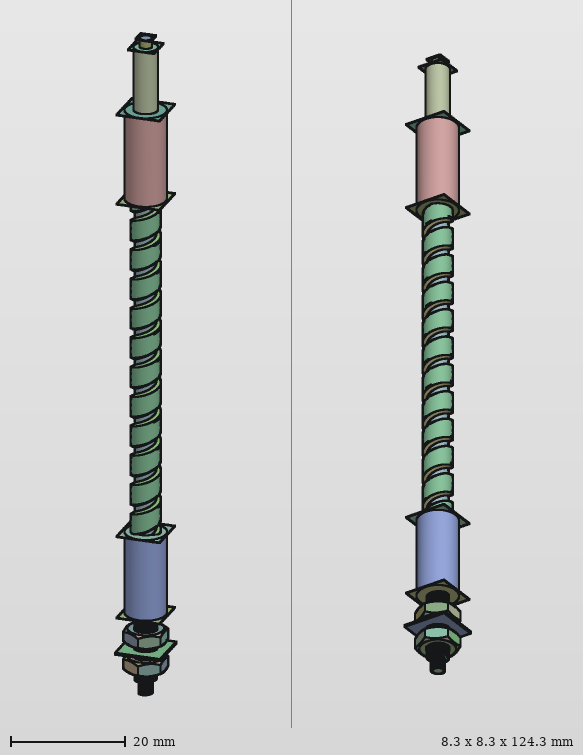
import cadquery as cq
import math

total_length = 124.3
stud_shoulder = 2.6
lower_nut_base = 4.5
washer_base = 8.3
upper_nut_base = 9.7
lower_sleeve_base = 15.2
lower_sleeve_top = 30.7
upper_sleeve_base = 93.6
upper_sleeve_top = 110.6
plunger_shoulder = 122.6

plate_thickness = 0.1
sleeve_diameter = 7.5
sleeve_plate_width = 8.0
plunger_diameter = 4.4
plunger_plate_width = 4.8
plunger_tip_diameter = 2.2
plunger_tip_plate_width = 2.9

spindle_diameter = 5.3
groove_depth = 0.7
groove_turns = 11.3
groove_pitch = (upper_sleeve_base - lower_sleeve_top) / groove_turns
groove_mouth = 1.9
groove_floor = 1.0
groove_level = 90.3

stud_diameter = 4.0
stud_hole_diameter = 4.1
stud_pitch = 0.7
stud_tip_diameter = 2.5
stud_tip_pitch = 0.45
thread_depth_share = 0.61
thread_mouth_share = 0.88
thread_floor_share = 0.25

washer_width = 8.3
washer_thickness = 0.4
nut_height = 2.6
nut_flat_width = 7.0
nut_face_diameter = 6.5
nut_chamfer_angle = 30.0
hexagon_half_angle = 30.0


def cylinder(diameter, base, top):
    """Round bar on the Z axis between two levels."""
    return cq.Workplane("XY").workplane(offset=base).circle(diameter / 2).extrude(top - base)


def square_plate(width, base, thickness):
    """Flat square plate centred on the Z axis."""
    return cq.Workplane("XY").workplane(offset=base).rect(width, width).extrude(thickness)


def polar_point(radius, angle):
    """XY point at a radius and an angle in radians from +X."""
    return (radius * math.cos(angle), radius * math.sin(angle))


def grooved_bar(diameter, base, top, pitch, depth, mouth, floor):
    """Bar with a right-handed helical groove, made by twisting its cross section along Z.

    The mouth and floor widths are measured along Z. At the base the groove is centred on +X.
    """
    rim_radius = diameter / 2
    floor_radius = rim_radius - depth
    flank_radius = rim_radius - depth / 2
    mouth_angle = math.pi * mouth / pitch
    floor_angle = math.pi * floor / pitch
    flank_angle = (mouth_angle + floor_angle) / 2
    section = (
        cq.Workplane("XY").workplane(offset=base)
        .moveTo(*polar_point(rim_radius, mouth_angle))
        .threePointArc((-rim_radius, 0), polar_point(rim_radius, -mouth_angle))
        .threePointArc(polar_point(flank_radius, -flank_angle), polar_point(floor_radius, -floor_angle))
        .threePointArc((floor_radius, 0), polar_point(floor_radius, floor_angle))
        .threePointArc(polar_point(flank_radius, flank_angle), polar_point(rim_radius, mouth_angle))
        .close()
    )
    length = top - base
    return section.twistExtrude(length, 360 * length / pitch)


def threaded_bar(diameter, base, top, pitch):
    """Bar whose helical groove leaves a narrow thread crest."""
    return grooved_bar(
        diameter, base, top, pitch,
        depth=thread_depth_share * pitch,
        mouth=thread_mouth_share * pitch,
        floor=thread_floor_share * pitch,
    )


def make_sleeve(base, top):
    """Round sleeve with a square plate at each end."""
    return (
        cylinder(sleeve_diameter, base, top)
        .union(square_plate(sleeve_plate_width, base, plate_thickness))
        .union(square_plate(sleeve_plate_width, top - plate_thickness, plate_thickness))
    )


def make_plunger():
    """Stepped rod with a square plate at its shoulder and at its tip."""
    tip_plate_base = total_length - plate_thickness
    shoulder_plate_base = plunger_shoulder - plate_thickness
    return (
        cylinder(plunger_diameter, upper_sleeve_top, plunger_shoulder)
        .union(square_plate(plunger_plate_width, shoulder_plate_base, plate_thickness))
        .union(cylinder(plunger_tip_diameter, plunger_shoulder, total_length))
        .union(square_plate(plunger_tip_plate_width, tip_plate_base, plate_thickness))
    )


def make_spindle():
    bar = grooved_bar(
        spindle_diameter, lower_sleeve_top, upper_sleeve_base,
        groove_pitch, groove_depth, groove_mouth, groove_floor,
    )
    start_angle = 180 - 360 * (groove_level - lower_sleeve_top) / groove_pitch
    return bar.rotate((0, 0, 0), (0, 0, 1), start_angle)


def make_stud():
    body = threaded_bar(stud_diameter, stud_shoulder, lower_sleeve_base, stud_pitch)
    tip = threaded_bar(stud_tip_diameter, 0, stud_shoulder, stud_tip_pitch)
    return body.union(tip)


def make_washer():
    hole = cylinder(stud_hole_diameter, washer_base, washer_base + washer_thickness)
    return square_plate(washer_width, washer_base, washer_thickness).cut(hole)


def make_nut(base):
    """Hexagon nut with corners toward +Y and -Y, chamfered at both faces."""
    corner_radius = nut_flat_width / 2 / math.cos(math.radians(hexagon_half_angle))
    face_radius = nut_face_diameter / 2
    chamfer_drop = (corner_radius - face_radius) * math.tan(math.radians(nut_chamfer_angle))
    top = base + nut_height
    hexagon = (
        cq.Workplane("XY").workplane(offset=base)
        .polygon(6, 2 * corner_radius)
        .extrude(nut_height)
        .rotate((0, 0, 0), (0, 0, 1), hexagon_half_angle)
    )
    turned_blank = (
        cq.Workplane("XZ")
        .polyline([
            (0, base),
            (face_radius, base),
            (corner_radius, base + chamfer_drop),
            (corner_radius, top - chamfer_drop),
            (face_radius, top),
            (0, top),
        ])
        .close()
        .revolve(360, (0, 0, 0), (0, 1, 0))
    )
    return hexagon.intersect(turned_blank).cut(cylinder(stud_hole_diameter, base, top))


sleeves = [
    make_sleeve(base, top)
    for base, top in [(lower_sleeve_base, lower_sleeve_top), (upper_sleeve_base, upper_sleeve_top)]
]
plunger = make_plunger()
spindle = make_spindle()
stud = make_stud()
washer = make_washer()
nuts = [make_nut(base) for base in [lower_nut_base, upper_nut_base]]

bodies = [*sleeves, plunger, spindle, stud, washer, *nuts]
result = cq.Compound.makeCompound([body.val() for body in bodies])